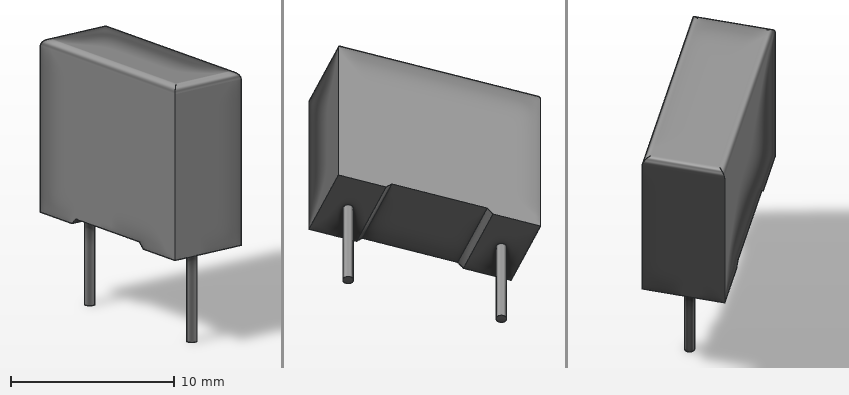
import cadquery as cq

total_height = 17.1
body_length = 13.2
body_width = 5.2
lead_length = 6.0
body_height = total_height - lead_length
top_edge_radius = 0.5

recess_depth = 0.38
recess_roof_length = 6.22
recess_mouth_length = recess_roof_length + 2 * recess_depth

lead_diameter = 0.65
lead_pitch = 10.0


def make_body():
    """Block standing on Z = 0 with its four top edges rounded."""
    block = cq.Workplane("XY").box(
        body_length, body_width, body_height, centered=(True, True, False)
    )
    return block.faces(">Z").edges().fillet(top_edge_radius)


def make_recess():
    """Trapezoidal channel running through the full body width."""
    return (
        cq.Workplane("XZ")
        .moveTo(-recess_mouth_length / 2, 0)
        .lineTo(-recess_roof_length / 2, recess_depth)
        .lineTo(recess_roof_length / 2, recess_depth)
        .lineTo(recess_mouth_length / 2, 0)
        .close()
        .extrude(body_width / 2, both=True)
    )


def make_leads():
    """Two round leads hanging below the body."""
    return (
        cq.Workplane("XY")
        .pushPoints([(-lead_pitch / 2, 0), (lead_pitch / 2, 0)])
        .circle(lead_diameter / 2)
        .extrude(-lead_length)
    )


result = make_body().cut(make_recess()).union(make_leads())